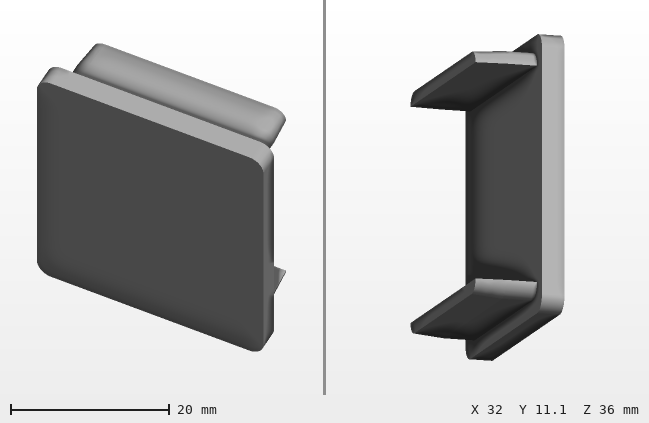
import cadquery as cq
import math

plate_width = 32.0
plate_height = 36.0
plate_thickness = 3.0
corner_radius = 2.0

edge_inset = 2.0
tab_thickness = corner_radius
tab_straight_length = 4.05
tab_tapered_length = 4.0
taper_angle = 5.0

tab_width = plate_width - 2 * edge_inset
tab_span = plate_height - 2 * edge_inset
taper_inset = tab_tapered_length * math.tan(math.radians(taper_angle))


def sketch_plane(y):
    """Plane at depth y, facing toward the back (+Y)."""
    return cq.Workplane(cq.Plane(origin=(0, y, 0), xDir=(1, 0, 0), normal=(0, 1, 0)))


def tab_outline(y, inset):
    """Tab cross-section with rounded outer corners, drawn in from the full size by inset."""
    half_width = tab_width / 2 - inset
    outer_z = tab_span / 2 - inset
    inner_z = tab_span / 2 - tab_thickness
    radius = corner_radius - inset
    arc_center_x = half_width - radius
    diagonal = radius * math.sqrt(0.5)
    return (
        sketch_plane(y)
        .moveTo(-half_width, -inner_z)
        .threePointArc((-arc_center_x - diagonal, -inner_z - diagonal), (-arc_center_x, -outer_z))
        .lineTo(arc_center_x, -outer_z)
        .threePointArc((arc_center_x + diagonal, -inner_z - diagonal), (half_width, -inner_z))
        .close()
    )


def upper_tab():
    """Straight root followed by a tip that tapers on its outer faces."""
    taper_start = plate_thickness + tab_straight_length
    tip_end = taper_start + tab_tapered_length
    root = tab_outline(plate_thickness, 0).extrude(tab_straight_length)
    start_wire = tab_outline(taper_start, 0).val()
    end_wire = tab_outline(tip_end, taper_inset).val()
    tip = cq.Workplane(cq.Solid.makeLoft([start_wire, end_wire], True))
    return root.union(tip)


plate = sketch_plane(0).rect(plate_width, plate_height).extrude(plate_thickness)
plate = plate.edges("|Y").fillet(corner_radius)
tab = upper_tab()
result = plate.union(tab).union(tab.mirror("XY"))